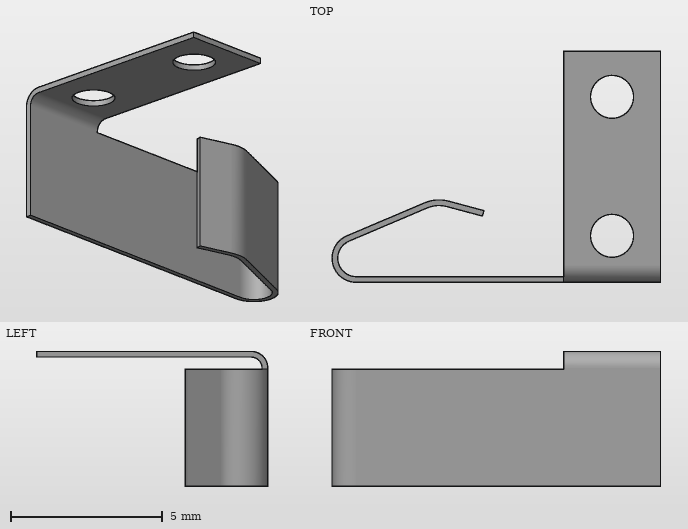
import cadquery as cq
import math

length = 10.82
depth = 7.62
height = 4.45
thickness = 0.2

tab_width = 3.19
tab_bend_radius = 0.55
hole_diameter = 1.41
hole_spacing = 4.58
front_hole_y = 1.54

wall_height = 3.86
hook_radius = 0.8
arm_angle = 23.0
arm_length = 2.79
crest_radius = 1.2
tip_angle = -15.0
tip_length = 1.21

tab_x = length - tab_width


def polar(center, radius, angle):
    """Point at a radius and an angle in degrees from a center."""
    a = math.radians(angle)
    return (center[0] + radius * math.cos(a), center[1] + radius * math.sin(a))


def make_spring():
    """Wall and hook: one strip profile in the XY plane, extruded upward."""
    arm_normal = 90 + arm_angle
    tip_normal = 90 + tip_angle
    hook_center = (hook_radius, hook_radius)
    arm_start = polar(hook_center, hook_radius, arm_normal)
    arm_end = polar(arm_start, arm_length, arm_angle)
    crest_center = polar(arm_end, -crest_radius, arm_normal)
    crest_middle = (arm_normal + tip_normal) / 2
    hook_middle = (arm_normal + 270) / 2

    tip_start = polar(crest_center, crest_radius, tip_normal)
    tip_end = polar(tip_start, tip_length, tip_angle)
    hook_inner = hook_radius - thickness
    crest_inner = crest_radius - thickness

    return (
        cq.Workplane("XY")
        .moveTo(length, 0)
        .lineTo(hook_radius, 0)
        .threePointArc(polar(hook_center, hook_radius, hook_middle), arm_start)
        .lineTo(*arm_end)
        .threePointArc(polar(crest_center, crest_radius, crest_middle), tip_start)
        .lineTo(*tip_end)
        .lineTo(*polar(tip_end, -thickness, tip_normal))
        .lineTo(*polar(crest_center, crest_inner, tip_normal))
        .threePointArc(
            polar(crest_center, crest_inner, crest_middle),
            polar(crest_center, crest_inner, arm_normal),
        )
        .lineTo(*polar(hook_center, hook_inner, arm_normal))
        .threePointArc(
            polar(hook_center, hook_inner, hook_middle),
            (hook_radius, thickness),
        )
        .lineTo(length, thickness)
        .close()
        .extrude(wall_height)
    )


def make_tab():
    """Tab, its bend and the wall below it: an L profile in the YZ plane."""
    bend_center = (tab_bend_radius, height - tab_bend_radius)
    inner_radius = tab_bend_radius - thickness
    return (
        cq.Workplane("YZ", origin=(tab_x, 0, 0))
        .moveTo(0, 0)
        .lineTo(0, bend_center[1])
        .threePointArc(polar(bend_center, tab_bend_radius, 135), (bend_center[0], height))
        .lineTo(depth, height)
        .lineTo(depth, height - thickness)
        .lineTo(bend_center[0], height - thickness)
        .threePointArc(polar(bend_center, inner_radius, 135), (thickness, bend_center[1]))
        .lineTo(thickness, 0)
        .close()
        .extrude(tab_width)
    )


def make_holes():
    """Two mounting holes through the tab, on its center line."""
    hole_x = tab_x + tab_width / 2
    return (
        cq.Workplane("XY", origin=(0, 0, height - thickness))
        .pushPoints([(hole_x, front_hole_y), (hole_x, front_hole_y + hole_spacing)])
        .circle(hole_diameter / 2)
        .extrude(thickness)
    )


result = make_spring().union(make_tab()).cut(make_holes())